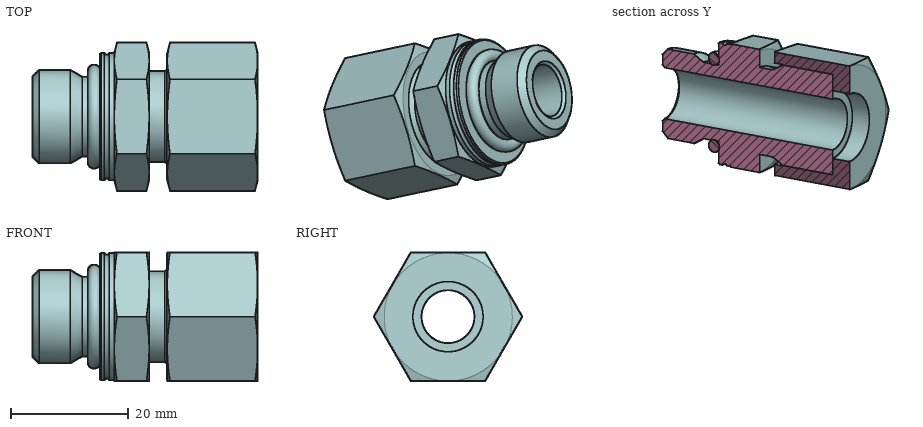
import cadquery as cq
import math


across_flats = 22.0
hex_chamfer_angle = math.radians(15)
thread_runout_angle = math.radians(30)

overall_length = 38.5
runout_start = 6.5
flange_start = 11.5
hex_start = 14.0
hex_end = 20.0
nut_thread_start = 22.6
nut_start = 23.0

stud_radius = 8.0
stud_chamfer = 1.15
stud_neck_radius = stud_radius - stud_chamfer
flange_radius = 10.9
flange_chamfer = 0.25
flange_groove_position = 12.75
flange_groove_width = 0.85
flange_groove_depth = 0.3
body_neck_radius = 7.8
nut_thread_radius = 9.0
bore_radius = 4.5
bore_chamfer = 0.5
hex_front_face_radius = 10.95
hex_rear_face_radius = 10.8

ring_section_radius = 1.1
ring_outer_radius = 8.9
ring_position = 10.55
ring_center_radius = ring_outer_radius - ring_section_radius

nut_end_wall = 3.5
nut_front_face_radius = 10.75
nut_rear_face_radius = 10.95
tube_hole_radius = 6.0
nut_wall_start = overall_length - nut_end_wall


def turned(points):
    """Solid of revolution about X from (x, radius) profile points."""
    return cq.Workplane("XY").polyline(points).close().revolve(360, (0, 0, 0), (1, 0, 0))


def chamfered_hexagon(start, end, front_face_radius, rear_face_radius):
    """Hexagonal prism with flats facing +Z and -Z, its corners turned off conically at both ends."""
    corner_radius = across_flats / math.sqrt(3)
    front_depth = (corner_radius - front_face_radius) * math.tan(hex_chamfer_angle)
    rear_depth = (corner_radius - rear_face_radius) * math.tan(hex_chamfer_angle)
    prism = (
        cq.Workplane("YZ", origin=(start, 0, 0))
        .polygon(6, 2 * corner_radius)
        .extrude(end - start)
    )
    envelope = turned([
        (start, 0),
        (start, front_face_radius),
        (start + front_depth, corner_radius),
        (end - rear_depth, corner_radius),
        (end, rear_face_radius),
        (end, 0),
    ])
    return prism.intersect(envelope)


def make_o_ring():
    return (
        cq.Workplane("XY")
        .center(ring_position, ring_center_radius)
        .circle(ring_section_radius)
        .revolve(360, (0, -ring_center_radius, 0), (1, -ring_center_radius, 0))
    )


def make_flange_groove():
    """Ring with a circular-arc floor, cut into the rim of the flange."""
    half_width = flange_groove_width / 2
    return (
        cq.Workplane("XY")
        .moveTo(flange_groove_position - half_width, flange_radius)
        .threePointArc(
            (flange_groove_position, flange_radius - flange_groove_depth),
            (flange_groove_position + half_width, flange_radius),
        )
        .close()
        .revolve(360, (0, 0, 0), (1, 0, 0))
    )


def make_stud_body(o_ring):
    runout_length = stud_chamfer / math.tan(thread_runout_angle)
    stud = turned([
        (0, 0),
        (0, stud_radius - stud_chamfer),
        (stud_chamfer, stud_radius),
        (runout_start, stud_radius),
        (runout_start + runout_length, stud_neck_radius),
        (flange_start, stud_neck_radius),
        (flange_start, 0),
    ])
    flange = turned([
        (flange_start, 0),
        (flange_start, flange_radius - flange_chamfer),
        (flange_start + flange_chamfer, flange_radius),
        (hex_start, flange_radius),
        (hex_start, 0),
    ])
    flange_groove = make_flange_groove()
    wrench_hex = chamfered_hexagon(hex_start, hex_end, hex_front_face_radius, hex_rear_face_radius)
    nut_runout = (nut_thread_radius - body_neck_radius) / math.tan(thread_runout_angle)
    nut_thread = turned([
        (hex_end, 0),
        (hex_end, body_neck_radius),
        (nut_thread_start, body_neck_radius),
        (nut_thread_start + nut_runout, nut_thread_radius),
        (nut_wall_start, nut_thread_radius),
        (nut_wall_start, 0),
    ])
    bore = turned([
        (0, 0),
        (0, bore_radius + bore_chamfer),
        (bore_chamfer, bore_radius),
        (nut_wall_start, bore_radius),
        (nut_wall_start, 0),
    ])
    outside = stud.union(flange.cut(flange_groove)).union(wrench_hex).union(nut_thread)
    return outside.cut(bore).cut(o_ring)


def make_union_nut():
    nut = chamfered_hexagon(nut_start, overall_length, nut_front_face_radius, nut_rear_face_radius)
    opening = turned([
        (nut_start, 0),
        (nut_start, nut_thread_radius),
        (nut_wall_start, nut_thread_radius),
        (nut_wall_start, tube_hole_radius),
        (overall_length, tube_hole_radius),
        (overall_length, 0),
    ])
    return nut.cut(opening)


o_ring = make_o_ring()
stud_body = make_stud_body(o_ring)
union_nut = make_union_nut()

result = cq.Compound.makeCompound([stud_body.val(), o_ring.val(), union_nut.val()])